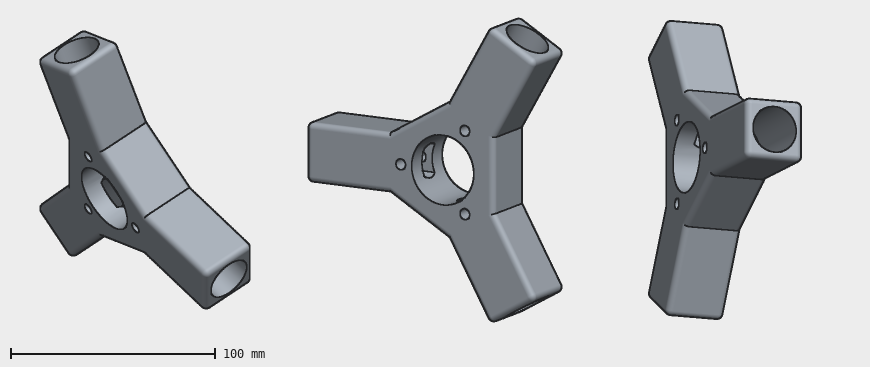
import cadquery as cq
import math

arm_count = 3
arm_angles = [i * 360 / arm_count for i in range(arm_count)]
thickness = 30.0
arm_width = thickness
arm_length = 77.5
hub_corner_reach = 30.8
edge_radius = 3.0

hub_hole_diameter = 35.0
hub_hole_offset_x = 0.5
hub_hole_offset_z = -0.1
bolt_hole_diameter = 5.5
bolt_circle_radius = 24.1

socket_diameter = 22.8
socket_floor_reach = 30.0
passage_diameter = 17.4
passage_width_y = 10.0


def rotated(x, z, angle):
    """Turn a point in the XZ plane about the hub axis (angle in degrees)."""
    a = math.radians(angle)
    return (x * math.cos(a) - z * math.sin(a), x * math.sin(a) + z * math.cos(a))


def make_body():
    """Rounded three-arm star, centred on the hub axis."""
    half_width = arm_width / 2
    outline = []
    for angle in arm_angles:
        for x, z in (
            (hub_corner_reach, -half_width),
            (arm_length, -half_width),
            (arm_length, half_width),
            (hub_corner_reach, half_width),
        ):
            outline.append(rotated(x, z, angle))
    back_face = cq.Workplane("XZ", origin=(0, thickness / 2, 0))
    body = back_face.polyline(outline).close().extrude(thickness)
    for angle in arm_angles:
        for side in (-half_width, half_width):
            x, z = rotated(arm_length, side, angle)
            tip_edge = cq.selectors.NearestToPointSelector((x, 0, z))
            body = body.edges(tip_edge).fillet(edge_radius)
    return body.faces("<Y or >Y").edges().fillet(edge_radius)


def make_arm_cavity():
    """Blind socket along +X, with a narrower flat-sided passage into the hub."""
    socket = (
        cq.Workplane("YZ", origin=(socket_floor_reach, 0, 0))
        .circle(socket_diameter / 2)
        .extrude(arm_length - socket_floor_reach)
    )
    passage = cq.Workplane("YZ").circle(passage_diameter / 2).extrude(socket_floor_reach)
    flats = cq.Workplane("YZ").rect(passage_width_y, passage_diameter).extrude(socket_floor_reach)
    return socket.union(passage.intersect(flats))


def make_hub_holes():
    """Central hole and the bolt holes, one in line with each arm."""
    bolt_points = [rotated(bolt_circle_radius, 0, angle) for angle in arm_angles]
    back_face = cq.Workplane("XZ", origin=(0, thickness / 2, 0))
    centre = (
        back_face.center(hub_hole_offset_x, hub_hole_offset_z)
        .circle(hub_hole_diameter / 2)
        .extrude(thickness)
    )
    bolts = back_face.pushPoints(bolt_points).circle(bolt_hole_diameter / 2).extrude(thickness)
    return centre.union(bolts)


arm_cavity = make_arm_cavity()

result = make_body().cut(make_hub_holes())
for angle in arm_angles:
    result = result.cut(arm_cavity.rotate((0, 0, 0), (0, 1, 0), angle))